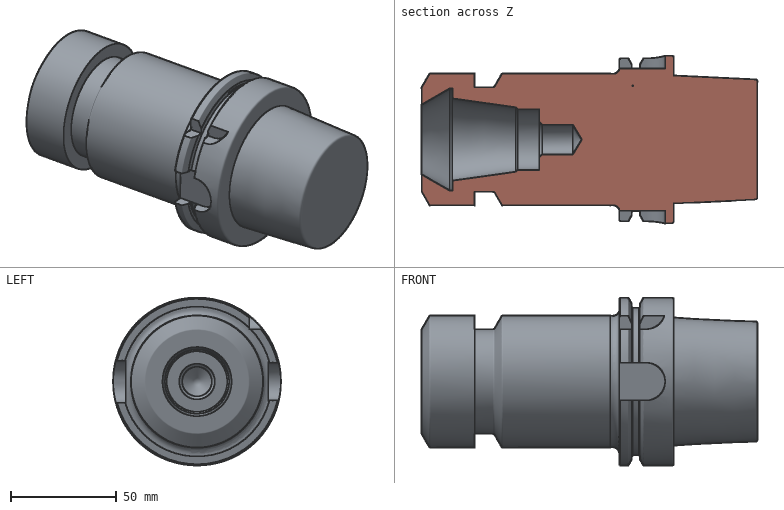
import cadquery as cq
import math

total_length = 160.0

body_radius = 31.5
neck_radius = 25.0
nose_radius = 24.8
cone_angle = 30.0
nut_end = 25.3
neck_end = 34.5
body_end = 90.0
relief_radius = 62.7 / 2
edge_radius = 1.0

flange_radius = 40.0
flange_start = 94.0
flange_end = 120.2
root_fillet = 3.0
relief_depth = body_radius - relief_radius
face_relief_radius = 35.7
front_chamfer = 0.6
groove_start = 100.2
groove_end = 104.0
groove_floor_radius = 35.2
groove_wall_radius = 37.1
groove_flank_angle = 30.0
groove_edge_radius = 0.5
groove_root_radius = 0.5

shank_start_radius = 30.5
shank_end_radius = 28.6
shank_edge_radius = 1.1

mouth_radius = 16.5
cavity_radius = 48.5 / 2
cavity_depth = 14.7
seat_mouth_radius = 19.5
seat_end_radius = 30.5 / 2
seat_angle = 8.0
bore_radius = 14.4
bore_depth = 56.0
pilot_rim_radius = 8.5
pilot_radius = 14.0 / 2
pilot_depth = 72.0
drill_tip_angle = 118.0

slot_floor_distance = 34.0
slot_end = 116.0
cutter_radius = 9.0
narrow_slot_width = 2 * cutter_radius
wide_slot_width = 20.0
notch_corner_y = -25.0
notch_corner_z = 25.0

margin = 0.2


def tangent(degrees):
    return math.tan(math.radians(degrees))


def revolve_about_x(profile):
    return profile.close().revolve(360, (0, 0, 0), (1, 0, 0))


def round_rim(solid, x, radius, fillet):
    """Fillet the circular edge of the given radius in the plane at x."""
    reach = radius + margin
    box = cq.selectors.BoxSelector(
        (x - margin, -reach, -reach),
        (x + margin, reach, reach),
        boundingbox=True,
    )
    largest_circle = cq.selectors.RadiusNthSelector(-1)
    return solid.edges(box).edges(largest_circle).fillet(fillet)


def make_outside():
    cone_length = (body_radius - nose_radius) * tangent(cone_angle)
    body_start = neck_end + (body_radius - neck_radius) * tangent(cone_angle)
    flank_length = (flange_radius - groove_wall_radius) * tangent(groove_flank_angle)
    land_end = groove_start - flank_length
    rear_flange_start = groove_end + flank_length
    recess_face = flange_start + relief_depth
    fillet_start = recess_face - root_fillet
    fillet_center_radius = relief_radius + root_fillet
    arc_offset = root_fillet * math.sqrt(0.5)

    solid = revolve_about_x(
        cq.Workplane("XY")
        .moveTo(0, 0)
        .lineTo(0, nose_radius)
        .lineTo(cone_length, body_radius)
        .lineTo(nut_end, body_radius)
        .lineTo(nut_end, neck_radius)
        .lineTo(neck_end, neck_radius)
        .lineTo(body_start, body_radius)
        .lineTo(body_end, body_radius)
        .lineTo(body_end, relief_radius)
        .lineTo(fillet_start, relief_radius)
        .threePointArc(
            (fillet_start + arc_offset, fillet_center_radius - arc_offset),
            (recess_face, fillet_center_radius),
        )
        .lineTo(recess_face, face_relief_radius)
        .lineTo(flange_start, face_relief_radius)
        .lineTo(flange_start, flange_radius - front_chamfer)
        .lineTo(flange_start + front_chamfer, flange_radius)
        .lineTo(land_end, flange_radius)
        .lineTo(groove_start, groove_wall_radius)
        .lineTo(groove_start, groove_floor_radius)
        .lineTo(groove_end, groove_floor_radius)
        .lineTo(groove_end, groove_wall_radius)
        .lineTo(rear_flange_start, flange_radius)
        .lineTo(flange_end, flange_radius)
        .lineTo(flange_end, shank_start_radius)
        .lineTo(total_length, shank_end_radius)
        .lineTo(total_length, 0)
    )
    rims = [
        (0, nose_radius, edge_radius),
        (cone_length, body_radius, edge_radius),
        (neck_end, neck_radius, edge_radius),
        (body_start, body_radius, edge_radius),
        (land_end, flange_radius, groove_edge_radius),
        (rear_flange_start, flange_radius, groove_edge_radius),
        (groove_start, groove_floor_radius, groove_root_radius),
        (groove_end, groove_floor_radius, groove_root_radius),
        (flange_end, flange_radius, edge_radius),
        (total_length, shank_end_radius, shank_edge_radius),
    ]
    for x, radius, fillet in rims:
        solid = round_rim(solid, x, radius, fillet)
    return solid


def make_collet_seat():
    mouth_cone_end = (cavity_radius - mouth_radius) / tangent(cone_angle)
    seat_end = cavity_depth + (seat_mouth_radius - seat_end_radius) / tangent(seat_angle)
    bore_start = seat_end + seat_end_radius - bore_radius
    pilot_start = bore_depth + pilot_rim_radius - pilot_radius
    drill_tip = pilot_depth + pilot_radius / tangent(drill_tip_angle / 2)
    return revolve_about_x(
        cq.Workplane("XY")
        .moveTo(0, 0)
        .lineTo(0, mouth_radius)
        .lineTo(mouth_cone_end, cavity_radius)
        .lineTo(cavity_depth, cavity_radius)
        .lineTo(cavity_depth, seat_mouth_radius)
        .lineTo(seat_end, seat_end_radius)
        .lineTo(bore_start, bore_radius)
        .lineTo(bore_depth, bore_radius)
        .lineTo(bore_depth, pilot_rim_radius)
        .lineTo(pilot_start, pilot_radius)
        .lineTo(pilot_depth, pilot_radius)
        .lineTo(drill_tip, 0)
    )


def make_slot(width, center_z, floor_y):
    """Slot open toward the nut, milled along Y from outside the flange down to floor_y."""
    outer_y = math.copysign(flange_radius + margin, floor_y)
    depth = abs(outer_y - floor_y)
    center_y = (outer_y + floor_y) / 2
    cutter_end_x = slot_end - cutter_radius
    corner_offset = width / 2 - cutter_radius

    def block(end_x, block_width):
        length = end_x - body_end
        return cq.Workplane("XY").box(length, depth, block_width).translate(
            (end_x - length / 2, center_y, center_z)
        )

    slot = block(cutter_end_x, width)
    if corner_offset > 0:
        slot = slot.union(block(slot_end, 2 * corner_offset))
    for z in (center_z - corner_offset, center_z + corner_offset):
        corner = cq.Workplane("XZ").circle(cutter_radius).extrude(depth)
        slot = slot.union(corner.translate((cutter_end_x, center_y + depth / 2, z)))
    return slot


result = (
    make_outside()
    .cut(make_collet_seat())
    .cut(make_slot(narrow_slot_width, 0, -slot_floor_distance))
    .cut(make_slot(wide_slot_width, 0, slot_floor_distance))
    .cut(make_slot(narrow_slot_width, notch_corner_z + cutter_radius, notch_corner_y))
)